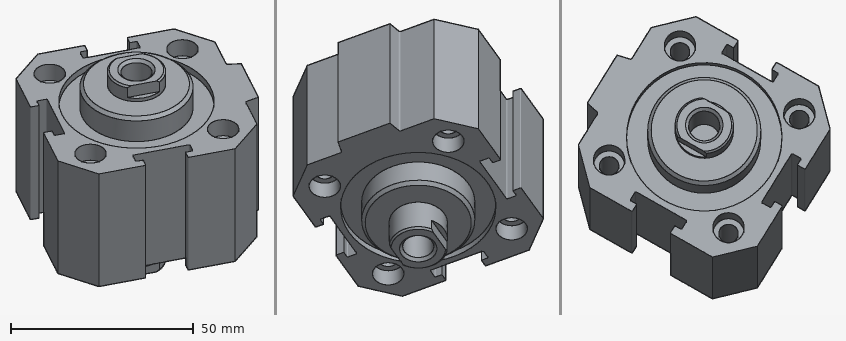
import cadquery as cq
import math

BLOCK_WIDTH = 57.0
CORNER_CUT = 9.0
BLOCK_BOTTOM = 16.0
BLOCK_HEIGHT = 38.65
BLOCK_TOP = BLOCK_BOTTOM + BLOCK_HEIGHT
HALF_WIDTH = BLOCK_WIDTH / 2

RIB_HEIGHT = 4.0
RIB_TIP_WIDTH = 16.0
RIB_BASE_WIDTH = 17.8
RIB_ROOT_RADIUS = 0.5

SLOT_OPENING = 12.1
SLOT_INNER_WIDTH = 16.4
SLOT_DEPTH = 5.45
LIP_THICKNESS = 2.5
SLOT_INNER_RADIUS = 0.3
LIP_EDGE_RADIUS = 0.25

MOUNT_SPACING = 38.0
MOUNT_HOLE_DIAMETER = 5.3
COUNTERBORE_DIAMETER = 8.6
COUNTERBORE_DEPTH = 5.5

BOSS_DIAMETER = 31.0
BOSS_HEIGHT = 5.95
BOSS_CHAMFER = 1.0
RECESS_DIAMETER = 42.5
RECESS_DEPTH = 2.1

ROD_LENGTH = 65.5
ROD_DIAMETER = 16.0
ROD_CHAMFER = 0.5
FLAT_LENGTH = 3.8
ACROSS_FLATS = 13.05
ROD_HOLE_DIAMETER = 8.5
ROD_HOLE_DEPTH = 13.1
COUNTERSINK_DIAMETER = 10.2


def t_slot():
    """T-slot cutter opening to the -Y side, with rounded inner corners and lip edges."""
    floor = -HALF_WIDTH + SLOT_DEPTH
    lip_inside = -HALF_WIDTH + LIP_THICKNESS
    channel = (
        cq.Workplane("XY", origin=(0, 0, BLOCK_BOTTOM))
        .center(0, (floor + lip_inside) / 2)
        .rect(SLOT_INNER_WIDTH, floor - lip_inside)
        .extrude(BLOCK_HEIGHT)
        .edges("|Z")
        .fillet(SLOT_INNER_RADIUS)
    )
    opening = (
        cq.Workplane("XY", origin=(0, 0, BLOCK_BOTTOM))
        .center(0, -HALF_WIDTH + LIP_THICKNESS / 2)
        .rect(SLOT_OPENING, LIP_THICKNESS)
        .extrude(BLOCK_HEIGHT)
    )
    return channel.union(opening)


def make_block():
    """Octagonal block with the rib and the three T-slots."""
    block = (
        cq.Workplane("XY", origin=(0, 0, BLOCK_BOTTOM))
        .rect(BLOCK_WIDTH, BLOCK_WIDTH)
        .extrude(BLOCK_HEIGHT)
        .edges("|Z")
        .chamfer(CORNER_CUT)
    )
    rib = (
        cq.Workplane("XY", origin=(0, 0, BLOCK_BOTTOM))
        .polyline([
            (-RIB_BASE_WIDTH / 2, HALF_WIDTH),
            (-RIB_TIP_WIDTH / 2, HALF_WIDTH + RIB_HEIGHT),
            (RIB_TIP_WIDTH / 2, HALF_WIDTH + RIB_HEIGHT),
            (RIB_BASE_WIDTH / 2, HALF_WIDTH),
        ])
        .close()
        .extrude(BLOCK_HEIGHT)
    )
    block = block.union(rib)
    rib_roots = [(side * RIB_BASE_WIDTH / 2, HALF_WIDTH) for side in (-1, 1)]
    block = fillet_vertical_edges(block, rib_roots, RIB_ROOT_RADIUS)

    lip_edges = [(side * SLOT_OPENING / 2, -HALF_WIDTH) for side in (-1, 1)]
    for angle in (0, 90, -90):
        block = block.cut(t_slot().rotate((0, 0, 0), (0, 0, 1), angle))
        turn = math.radians(angle)
        turned_edges = [
            (x * math.cos(turn) - y * math.sin(turn), x * math.sin(turn) + y * math.cos(turn))
            for x, y in lip_edges
        ]
        block = fillet_vertical_edges(block, turned_edges, LIP_EDGE_RADIUS)
    return block


def fillet_vertical_edges(solid, places, radius):
    """Round the vertical edges of the block that stand at the given XY places."""
    middle = BLOCK_BOTTOM + BLOCK_HEIGHT / 2
    for x, y in places:
        edge = cq.selectors.NearestToPointSelector((x, y, middle))
        solid = solid.edges("|Z").edges(edge).fillet(radius)
    return solid


def boss():
    """Chamfered boss on the top end, from the recess floor upward."""
    return (
        cq.Workplane("XY", origin=(0, 0, BLOCK_TOP - RECESS_DEPTH))
        .circle(BOSS_DIAMETER / 2)
        .extrude(RECESS_DEPTH + BOSS_HEIGHT)
        .faces(">Z")
        .chamfer(BOSS_CHAMFER)
    )


def recess():
    """Round recess cutter for the top end of the block."""
    return (
        cq.Workplane("XY", origin=(0, 0, BLOCK_TOP - RECESS_DEPTH))
        .circle(RECESS_DIAMETER / 2)
        .extrude(RECESS_DEPTH)
    )


def counterbores():
    """Counterbore cutters for the four mounting holes at the top end."""
    return (
        cq.Workplane("XY", origin=(0, 0, BLOCK_TOP - COUNTERBORE_DEPTH))
        .rect(MOUNT_SPACING, MOUNT_SPACING, forConstruction=True)
        .vertices()
        .circle(COUNTERBORE_DIAMETER / 2)
        .extrude(COUNTERBORE_DEPTH)
    )


def at_other_end(shape, middle):
    """Mirror a shape across the horizontal plane at the given height."""
    return shape.mirror("XY", (0, 0, middle))


def make_housing():
    """Block with mounting holes, a recess and boss at each end, and the rod bore."""
    middle = BLOCK_BOTTOM + BLOCK_HEIGHT / 2
    mount_holes = (
        cq.Workplane("XY", origin=(0, 0, BLOCK_BOTTOM))
        .rect(MOUNT_SPACING, MOUNT_SPACING, forConstruction=True)
        .vertices()
        .circle(MOUNT_HOLE_DIAMETER / 2)
        .extrude(BLOCK_HEIGHT)
    )
    body = make_block().cut(mount_holes)
    for cutter in (recess(), counterbores()):
        body = body.cut(cutter).cut(at_other_end(cutter, middle))
    body = body.union(boss()).union(at_other_end(boss(), middle))
    bore = cq.Workplane("XY").circle(ROD_DIAMETER / 2).extrude(ROD_LENGTH)
    return body.cut(bore)


def rod_flats():
    """Cutters for the two wrench flats at the top end of the rod."""
    cutter_size = 2 * ROD_DIAMETER
    return (
        cq.Workplane("XY", origin=(0, 0, ROD_LENGTH - FLAT_LENGTH))
        .rect(cutter_size, cutter_size)
        .rect(ACROSS_FLATS, cutter_size)
        .extrude(FLAT_LENGTH)
    )


def rod_hole():
    """Countersunk blind hole cutter for the top end of the rod."""
    hole_radius = ROD_HOLE_DIAMETER / 2
    mouth_radius = COUNTERSINK_DIAMETER / 2
    countersink_depth = mouth_radius - hole_radius
    return (
        cq.Workplane("XZ")
        .moveTo(0, ROD_LENGTH - ROD_HOLE_DEPTH)
        .lineTo(hole_radius, ROD_LENGTH - ROD_HOLE_DEPTH)
        .lineTo(hole_radius, ROD_LENGTH - countersink_depth)
        .lineTo(mouth_radius, ROD_LENGTH)
        .lineTo(0, ROD_LENGTH)
        .close()
        .revolve(360, (0, 0, 0), (0, 1, 0))
    )


def make_rod():
    """Through rod with chamfered ends, wrench flats and a blind hole at each end."""
    rod = (
        cq.Workplane("XY")
        .circle(ROD_DIAMETER / 2)
        .extrude(ROD_LENGTH)
        .faces("<Z or >Z")
        .chamfer(ROD_CHAMFER)
    )
    for cutter in (rod_flats(), rod_hole()):
        rod = rod.cut(cutter).cut(at_other_end(cutter, ROD_LENGTH / 2))
    return rod


housing = make_housing()
rod = make_rod()
result = cq.Compound.makeCompound([housing.val(), rod.val()])